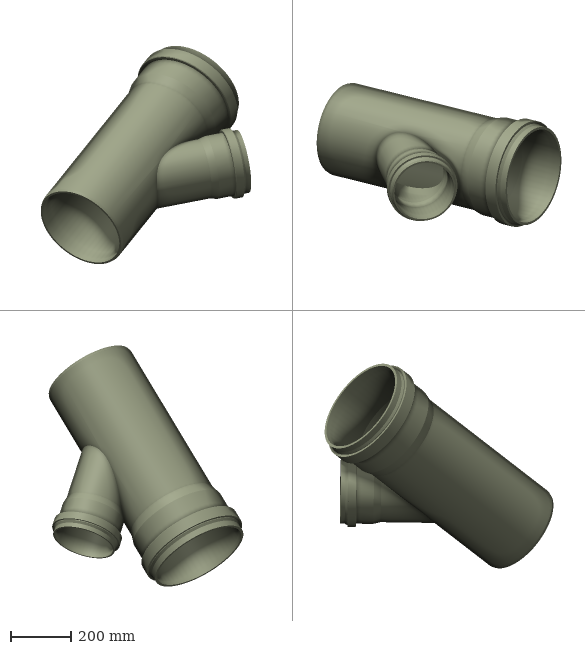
import cadquery as cq

main_length = 765.0
main_pipe_diameter = 315.0
main_bore_diameter = 295.0
main_lip_diameter = 335.0
main_socket_bore_diameter = 317.5
main_flare_diameter = 343.5
main_ring_diameter = 361.0
end_chamfer_length = 9.0
end_chamfer_depth = 3.0

main_flare_start = 21.5
main_flare_end = 30.0
main_ring_start = 32.0
main_ring_end = 74.0
main_taper_start = 151.0
main_taper_end = 186.0

branch_angle = 45.0
branch_origin_y = 223.0
branch_length = 444.0
branch_pipe_diameter = 201.0
branch_bore_diameter = 187.5
branch_lip_diameter = 213.5
branch_socket_bore_diameter = 202.0
branch_flare_diameter = 223.0
branch_ring_diameter = 235.0

branch_flare_start = 15.0
branch_flare_end = 23.0
branch_ring_start = 25.0
branch_ring_end = 53.5
branch_taper_start = 110.0
branch_taper_end = 135.0

ring_chamfer = 2.0


def revolve_profile(points):
    """Revolve a (radius, height) outline around the Y axis."""
    return cq.Workplane("XY").polyline(points).close().revolve(360, (0, 0, 0), (0, 1, 0))


def socket_pipe_outside(length, pipe, lip, flare, ring, flare_start, flare_end,
                        ring_start, ring_end, taper_start, taper_end):
    """Solid pipe from Y = 0 with a flared, ringed socket at its far end."""
    return revolve_profile([
        (0, 0),
        (pipe / 2, 0),
        (pipe / 2, length - taper_end),
        (lip / 2, length - taper_start),
        (lip / 2, length - ring_end),
        (ring / 2 - ring_chamfer, length - ring_end),
        (ring / 2, length - ring_end + ring_chamfer),
        (ring / 2, length - ring_start),
        (flare / 2, length - ring_start),
        (flare / 2, length - flare_end),
        (lip / 2, length - flare_start),
        (lip / 2, length),
        (0, length),
    ])


def socket_pipe_inside(length, bore, socket_bore, taper_start, taper_end):
    """Bore from Y = 0 that widens into the socket at its far end."""
    return revolve_profile([
        (0, 0),
        (bore / 2, 0),
        (bore / 2, length - taper_end),
        (socket_bore / 2, length - taper_start),
        (socket_bore / 2, length),
        (0, length),
    ])


def end_chamfer():
    """Ring of material removed to bevel the plain end of the main pipe."""
    radius = main_pipe_diameter / 2
    return revolve_profile([
        (radius - end_chamfer_depth, 0),
        (radius, 0),
        (radius, end_chamfer_length),
    ])


def place_branch(body):
    """Tilt a body from the Y axis onto the branch axis."""
    tilted = body.rotate((0, 0, 0), (0, 0, 1), -branch_angle)
    return tilted.translate((0, branch_origin_y, 0))


main_outside = socket_pipe_outside(
    main_length, main_pipe_diameter, main_lip_diameter, main_flare_diameter, main_ring_diameter,
    main_flare_start, main_flare_end, main_ring_start, main_ring_end,
    main_taper_start, main_taper_end,
).cut(end_chamfer())
main_inside = socket_pipe_inside(
    main_length, main_bore_diameter, main_socket_bore_diameter, main_taper_start, main_taper_end,
)

branch_outside = place_branch(socket_pipe_outside(
    branch_length, branch_pipe_diameter, branch_lip_diameter, branch_flare_diameter,
    branch_ring_diameter, branch_flare_start, branch_flare_end,
    branch_ring_start, branch_ring_end, branch_taper_start, branch_taper_end,
))
branch_inside = place_branch(socket_pipe_inside(
    branch_length, branch_bore_diameter, branch_socket_bore_diameter,
    branch_taper_start, branch_taper_end,
))

wye = main_outside.union(branch_outside).cut(main_inside).cut(branch_inside)
result = wye.translate((0, -main_length / 2, 0))